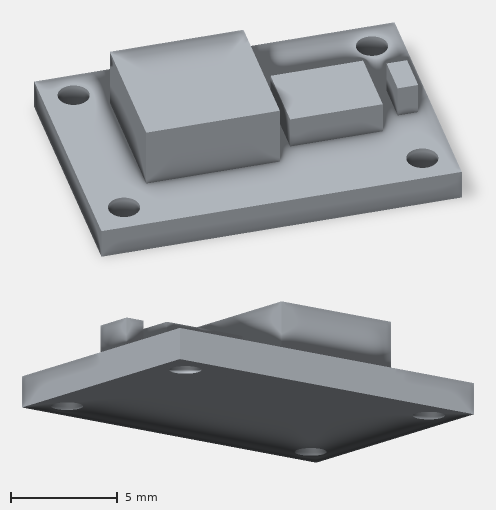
import cadquery as cq

board_width = 12.0
board_length = 17.5
board_thickness = 1.5

hole_diameter = 1.5
hole_inset = hole_diameter

total_height = 4.5
large_side = 6.5
large_height = total_height - board_thickness
large_left_gap = 2.5
large_front_gap = 3.0

low_height = 1.6
medium_width = 3.5
medium_length = 4.5
medium_left_gap = 4.5
medium_back_gap = 2.75

small_width = 2.0
small_length = 1.0
small_left_gap = (board_width - small_width) / 2
small_back_gap = 0.75


def block(left, front, bottom, width, length, height):
    """Rectangular block placed by its left, front, bottom corner."""
    return cq.Workplane("XY").box(width, length, height, centered=False).translate((left, front, bottom))


def component(left, front, width, length, height):
    """Block standing on the board's top face."""
    return block(left, front, board_thickness, width, length, height)


board = block(0, 0, 0, board_width, board_length, board_thickness)
hole_centres = [
    (x, y)
    for x in (hole_inset, board_width - hole_inset)
    for y in (hole_inset, board_length - hole_inset)
]
holes = cq.Workplane("XY").pushPoints(hole_centres).circle(hole_diameter / 2).extrude(board_thickness)

medium_front_gap = board_length - medium_back_gap - medium_length
small_front_gap = board_length - small_back_gap - small_length

large_component = component(large_left_gap, large_front_gap, large_side, large_side, large_height)
medium_component = component(medium_left_gap, medium_front_gap, medium_width, medium_length, low_height)
small_component = component(small_left_gap, small_front_gap, small_width, small_length, low_height)

result = board.cut(holes).union(large_component).union(medium_component).union(small_component)